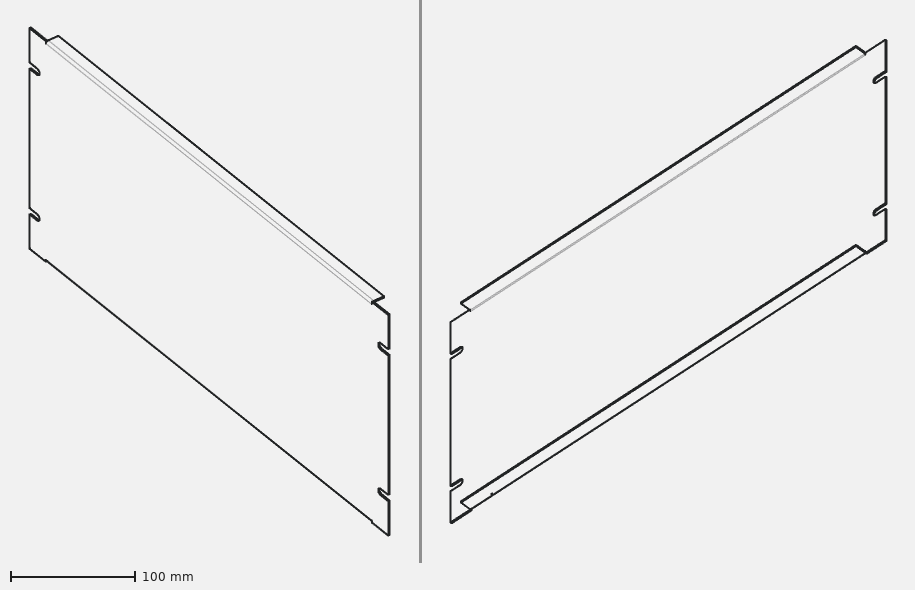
import cadquery as cq

panel_width = 482.5
panel_height = 221.5
panel_depth = 12.5
sheet_thickness = 1.5
bend_outer_radius = 2.25
bend_inner_radius = bend_outer_radius - sheet_thickness
flange_length = 438.0

slot_spacing = 146.0
slot_height = 6.5
slot_depth = 13.5


def make_panel():
    """Flat sheet, with its front face on Y = 0."""
    return cq.Workplane("XY").box(
        panel_width, sheet_thickness, panel_height, centered=(True, False, True)
    )


def make_channel():
    """Channel with rounded bends that carries both flanges."""
    outer = (
        cq.Workplane("XY")
        .box(flange_length, panel_depth, panel_height, centered=(True, False, True))
        .edges("|X and <Y")
        .fillet(bend_outer_radius)
    )
    inner = (
        cq.Workplane("XY")
        .box(
            flange_length,
            panel_depth - sheet_thickness,
            panel_height - 2 * sheet_thickness,
            centered=(True, False, True),
        )
        .translate((0, sheet_thickness, 0))
        .edges("|X and <Y")
        .fillet(bend_inner_radius)
    )
    return outer.cut(inner)


def make_channel_space():
    """Block over the flange length, where the channel replaces the flat sheet."""
    return (
        cq.Workplane("XY")
        .box(flange_length, panel_depth, panel_height, centered=(True, False, True))
    )


def make_slot(side, height):
    """Round-ended slot on one side (-1 left, +1 right) at the given Z."""
    return (
        cq.Workplane("XZ")
        .center(side * panel_width / 2, height)
        .slot2D(2 * slot_depth, slot_height)
        .extrude(sheet_thickness, both=True)
    )


result = make_panel().cut(make_channel_space()).union(make_channel())
for side in (-1, 1):
    for level in (-1, 1):
        result = result.cut(make_slot(side, level * slot_spacing / 2))